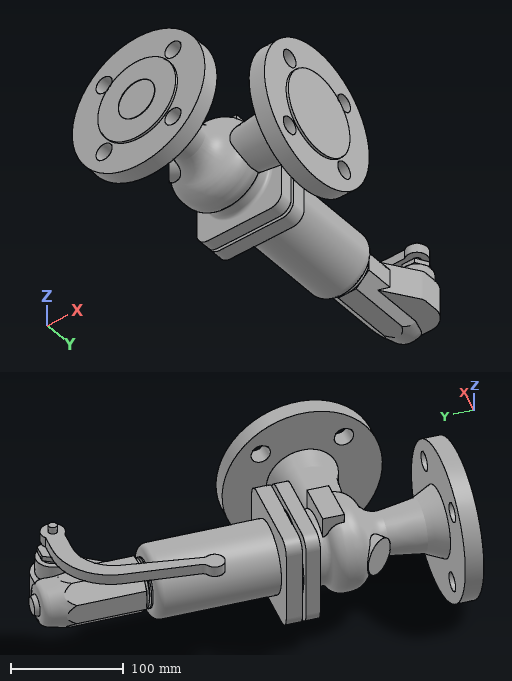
import math

import cadquery as cq


FACE_DISTANCE = 115.0
FLANGE_RADIUS = 75.0
FLANGE_BACK = 95.0
RAISED_FACE_RADIUS = 44.0
RAISED_FACE_HEIGHT = 2.5
BOLT_CIRCLE_RADIUS = 55.0
BOLT_COUNT = 4
BOLT_HOLE_RADIUS = 9.0
INLET_DISC_RADIUS = 20.5
INLET_DISC_HEIGHT = 0.5

NECK_KNEE = 77.0
INLET_FLARE_RADIUS = 34.0
INLET_KNEE_RADIUS = 25.5
INLET_THROAT_RADIUS = 20.5
INLET_THROAT_Y = -42.0
OUTLET_FLARE_RADIUS = 33.7
OUTLET_KNEE_RADIUS = 27.7
OUTLET_ROOT_RADIUS = 18.7

BODY_RADIUS = 45.0
BAND_TOP_Y = 2.6
BAND_BOTTOM_Y = -3.5
LOWER_BULGE_RADIUS = 20.0
UPPER_BULGE_RADIUS = 15.0
BODY_NECK_RADIUS = 35.0
BODY_NECK_START_Y = 20.8
BODY_NECK_FLARE = 3.5

SQUARE_SIDE = 96.0
SQUARE_CORNER_RADIUS = 13.0
LOWER_SQUARE_Y = (31.2, 44.7)
UPPER_SQUARE_Y = (48.0, 63.2)
GASKET_RADIUS = 42.0
GASKET_TOP_Y = 45.7
SPIGOT_RADIUS = 38.0

BONNET_RADIUS = 34.8
BONNET_TOP_Y = 179.2
BONNET_ROUND = 7.9
BONNET_DISC_RADIUS = 23.4
BONNET_DISC_HEIGHT = 1.4

CAP_NECK_RADIUS = 18.0
CAP_RIM_Y = 182.8
CAP_RIM_RADIUS = 23.5
CAP_BOTTOM_Y = 185.5
CAP_FLATS = 49.0
CAP_SIDES = 8
CAP_SHOULDER_Y = 260.0
CAP_DOME_Y = 273.3
CAP_DOME_RADIUS = 21.5
CAP_TOP_Y = 280.4
CAP_TOP_RADIUS = 14.0
NUB_BASE_RADIUS = 10.2
NUB_TOP_RADIUS = 8.5
NUB_TOP_Y = 285.0

SHAFT_X = 21.5
SHAFT_Y = 258.0
SHAFT_RADIUS = 4.1
SHAFT_TOP_Z = 68.6
SHAFT_BOSS_RADIUS = 16.0
SHAFT_BOSS_TOP_Z = 33.6
COLLAR_RADIUS = 11.0
NUT_BOTTOM_Z = 36.7
NUT_TOP_Z = 41.8
NUT_FLATS = 24.8
NUT_SIDES = 6
HOUSING_RADIUS = 20.7
HOUSING_HALF_THICKNESS = 16.4
HOUSING_KNEE_Y = 241.8
HOUSING_KNEE_ROUND = 9.0
HOUSING_SLOPE = 1.484
HOUSING_INNER_X = 8.0

LEVER_BOTTOM_Z = 51.0
LEVER_TOP_Z = 61.5
LEVER_EYE_RADIUS = 11.4
LEVER_ARM_HALF_WIDTH = 9.0
LEVER_OUTER_BEND = 55.0
LEVER_OUTER_BEND_X = -2.5
LEVER_OUTER_ANGLE = 7.1
LEVER_INNER_BEND = 38.5
LEVER_INNER_BEND_X = -6.0
LEVER_INNER_ANGLE = 9.9
LEVER_BALL_X = -64.4
LEVER_BALL_Y = 135.6
LEVER_BALL_RADIUS = 9.3
LEVER_BALL_FILLET = 6.0

PAD_WIDTH = 43.6
PAD_Y = (0.0, 20.3)
PAD_TOP_Z = 48.0

DRAIN_RADIUS = 17.8
DRAIN_FACE_X = -31.2
DRAIN_FACE_Y = -29.5
DRAIN_TILT = 38.0
DRAIN_LENGTH = 32.0


def y_cylinder(radius, start, end):
    """Cylinder about the spindle axis between two Y positions."""
    return cq.Workplane("XZ", origin=(0, start, 0)).circle(radius).extrude(start - end)


def z_cylinder(radius, x, y, bottom, top):
    """Upright cylinder between two Z positions."""
    return cq.Workplane("XY", origin=(x, y, bottom)).circle(radius).extrude(top - bottom)


def turned(profile):
    """Solid of revolution about Y from a closed profile in the XY plane."""
    return profile.close().revolve(360, (0, 0, 0), (0, 1, 0))


def point_at(centre, radius, degrees):
    """Point on a circle at the given angle from +X."""
    angle = math.radians(degrees)
    return (centre[0] + radius * math.cos(angle), centre[1] + radius * math.sin(angle))


def blend_arcs(bulge_centre, bulge_radius, neck_radius, neck_y):
    """Join a round bulge smoothly to a cylindrical neck of smaller radius.

    Returns a middle point of the bulge arc, the point where the two arcs meet and
    a middle point of the hollow arc, which is tangent to the neck at neck_y.
    """
    offset = neck_radius - bulge_centre[0]
    rise = neck_y - bulge_centre[1]
    hollow_radius = (rise**2 + offset**2 - bulge_radius**2) / (2 * (bulge_radius - offset))
    hollow_centre = (neck_radius + hollow_radius, neck_y)
    direction = math.degrees(math.atan2(rise, offset + hollow_radius))
    return (
        point_at(bulge_centre, bulge_radius, direction / 2),
        point_at(bulge_centre, bulge_radius, direction),
        point_at(hollow_centre, hollow_radius, 180 + direction / 2),
    )


def pipe_flange():
    """Drilled flange with a raised face, its axis along +Z and its face outward."""
    raised_start = FACE_DISTANCE - RAISED_FACE_HEIGHT
    flange = z_cylinder(FLANGE_RADIUS, 0, 0, FLANGE_BACK, raised_start)
    holes = (
        cq.Workplane("XY", origin=(0, 0, FLANGE_BACK))
        .polarArray(BOLT_CIRCLE_RADIUS, 180 / BOLT_COUNT, 360, BOLT_COUNT)
        .circle(BOLT_HOLE_RADIUS)
        .extrude(raised_start - FLANGE_BACK)
    )
    raised_face = z_cylinder(RAISED_FACE_RADIUS, 0, 0, raised_start, FACE_DISTANCE)
    return flange.cut(holes).union(raised_face)


def body():
    """Bulged body with its upper neck and the tapered inlet neck."""
    lower_mid, lower_join, throat_mid = blend_arcs(
        (BODY_RADIUS - LOWER_BULGE_RADIUS, BAND_BOTTOM_Y),
        LOWER_BULGE_RADIUS,
        INLET_THROAT_RADIUS,
        INLET_THROAT_Y,
    )
    upper_mid, upper_join, neck_mid = blend_arcs(
        (BODY_RADIUS - UPPER_BULGE_RADIUS, BAND_TOP_Y),
        UPPER_BULGE_RADIUS,
        BODY_NECK_RADIUS,
        BODY_NECK_START_Y,
    )
    neck_top = LOWER_SQUARE_Y[0]
    flare_centre = (BODY_NECK_RADIUS + BODY_NECK_FLARE, neck_top - BODY_NECK_FLARE)
    profile = (
        cq.Workplane("XY")
        .moveTo(0, -FLANGE_BACK)
        .lineTo(INLET_FLARE_RADIUS, -FLANGE_BACK)
        .lineTo(INLET_KNEE_RADIUS, -NECK_KNEE)
        .lineTo(INLET_THROAT_RADIUS, INLET_THROAT_Y)
        .threePointArc(throat_mid, lower_join)
        .threePointArc(lower_mid, (BODY_RADIUS, BAND_BOTTOM_Y))
        .lineTo(BODY_RADIUS, BAND_TOP_Y)
        .threePointArc(upper_mid, upper_join)
        .threePointArc(neck_mid, (BODY_NECK_RADIUS, BODY_NECK_START_Y))
        .lineTo(BODY_NECK_RADIUS, flare_centre[1])
        .threePointArc(point_at(flare_centre, BODY_NECK_FLARE, 135), (flare_centre[0], neck_top))
        .lineTo(0, neck_top)
    )
    return turned(profile)


def inlet_flange():
    """Inlet flange facing -Y, with the thin round disc on its raised face."""
    flange = pipe_flange().rotate((0, 0, 0), (1, 0, 0), 90)
    disc = y_cylinder(INLET_DISC_RADIUS, -FACE_DISTANCE - INLET_DISC_HEIGHT, -FACE_DISTANCE)
    return flange.union(disc)


def outlet():
    """Outlet flange facing +X and the tapered pipe that leads to it."""
    pipe = (
        cq.Workplane("XY")
        .lineTo(0, OUTLET_ROOT_RADIUS)
        .lineTo(NECK_KNEE, OUTLET_KNEE_RADIUS)
        .lineTo(FLANGE_BACK, OUTLET_FLARE_RADIUS)
        .lineTo(FLANGE_BACK, 0)
        .close()
        .revolve(360, (0, 0, 0), (1, 0, 0))
    )
    return pipe.union(pipe_flange().rotate((0, 0, 0), (0, 1, 0), 90))


def square_flange(span):
    """Square clamping flange with rounded corners."""
    start, end = span
    return (
        cq.Workplane("XZ", origin=(0, start, 0))
        .rect(SQUARE_SIDE, SQUARE_SIDE)
        .extrude(start - end)
        .edges("|Y")
        .fillet(SQUARE_CORNER_RADIUS)
    )


def clamped_joint():
    """Both square flanges with the gasket and spigot between them."""
    gasket = y_cylinder(GASKET_RADIUS, LOWER_SQUARE_Y[1], GASKET_TOP_Y)
    spigot = y_cylinder(SPIGOT_RADIUS, GASKET_TOP_Y, UPPER_SQUARE_Y[0])
    return square_flange(LOWER_SQUARE_Y).union(gasket).union(spigot).union(square_flange(UPPER_SQUARE_Y))


def bonnet():
    """Spring bonnet with a rounded top edge and a thin disc on its top."""
    barrel = y_cylinder(BONNET_RADIUS, UPPER_SQUARE_Y[1], BONNET_TOP_Y)
    disc = y_cylinder(BONNET_DISC_RADIUS, BONNET_TOP_Y, BONNET_TOP_Y + BONNET_DISC_HEIGHT)
    return barrel.faces(">Y").edges().fillet(BONNET_ROUND).union(disc)


def cap():
    """Octagonal cap with a coned shoulder, a rounded top and a small coned nub."""
    corner_radius = CAP_FLATS / 2 / math.cos(math.pi / CAP_SIDES)
    octagon = (
        cq.Workplane("XZ", origin=(0, CAP_BOTTOM_Y, 0))
        .polygon(CAP_SIDES, 2 * corner_radius)
        .extrude(CAP_BOTTOM_Y - CAP_TOP_Y)
        .rotate((0, 0, 0), (0, 1, 0), 180 / CAP_SIDES)
    )
    shoulder_taper = (CAP_FLATS / 2 - CAP_DOME_RADIUS) / (CAP_DOME_Y - CAP_SHOULDER_Y)
    cone_start_y = CAP_DOME_Y - (corner_radius - CAP_DOME_RADIUS) / shoulder_taper
    dome_tangent = (-shoulder_taper, 1)
    envelope = turned(
        cq.Workplane("XY")
        .moveTo(0, CAP_BOTTOM_Y)
        .lineTo(corner_radius, CAP_BOTTOM_Y)
        .lineTo(corner_radius, cone_start_y)
        .lineTo(CAP_DOME_RADIUS, CAP_DOME_Y)
        .spline([(CAP_TOP_RADIUS, CAP_TOP_Y)], [dome_tangent, (-1, 0)], includeCurrent=True)
        .lineTo(0, CAP_TOP_Y)
    )
    rim = turned(
        cq.Workplane("XY")
        .moveTo(0, CAP_RIM_Y)
        .lineTo(CAP_RIM_RADIUS, CAP_RIM_Y)
        .lineTo(CAP_FLATS / 2, CAP_BOTTOM_Y)
        .lineTo(0, CAP_BOTTOM_Y)
    )
    neck = y_cylinder(CAP_NECK_RADIUS, BONNET_TOP_Y, CAP_RIM_Y)
    nub = turned(
        cq.Workplane("XY")
        .moveTo(0, CAP_TOP_Y)
        .lineTo(NUB_BASE_RADIUS, CAP_TOP_Y)
        .lineTo(NUB_TOP_RADIUS, NUB_TOP_Y)
        .lineTo(0, NUB_TOP_Y)
    )
    return octagon.intersect(envelope).union(rim).union(neck).union(nub)


def shaft_housing():
    """Rounded housing beside the cap, ending in a slope down to the cap side."""
    outer_x = SHAFT_X + HOUSING_RADIUS
    top_y = SHAFT_Y + HOUSING_RADIUS
    slope_end_y = HOUSING_KNEE_Y - HOUSING_SLOPE * (outer_x - HOUSING_INNER_X)
    return (
        cq.Workplane("XY", origin=(0, 0, -HOUSING_HALF_THICKNESS))
        .moveTo(HOUSING_INNER_X, slope_end_y)
        .lineTo(outer_x, HOUSING_KNEE_Y)
        .lineTo(outer_x, SHAFT_Y)
        .threePointArc(point_at((SHAFT_X, SHAFT_Y), HOUSING_RADIUS, 45), (SHAFT_X, top_y))
        .lineTo(HOUSING_INNER_X, top_y)
        .close()
        .extrude(2 * HOUSING_HALF_THICKNESS)
        .edges(cq.selectors.NearestToPointSelector((outer_x, HOUSING_KNEE_Y, 0)))
        .fillet(HOUSING_KNEE_ROUND)
    )


def lever_shaft():
    """Shaft boss, collar, hexagon nut and the shaft itself."""
    boss = z_cylinder(SHAFT_BOSS_RADIUS, SHAFT_X, SHAFT_Y, 0, SHAFT_BOSS_TOP_Z)
    collar = z_cylinder(COLLAR_RADIUS, SHAFT_X, SHAFT_Y, SHAFT_BOSS_TOP_Z, NUT_BOTTOM_Z)
    nut = (
        cq.Workplane("XY", origin=(SHAFT_X, SHAFT_Y, NUT_BOTTOM_Z))
        .polygon(NUT_SIDES, NUT_FLATS / math.cos(math.pi / NUT_SIDES))
        .extrude(NUT_TOP_Z - NUT_BOTTOM_Z)
    )
    shaft = z_cylinder(SHAFT_RADIUS, SHAFT_X, SHAFT_Y, NUT_TOP_Z, SHAFT_TOP_Z)
    return boss.union(collar).union(nut).union(shaft)


def lever():
    """Bent, tapering lever with a round eye at the shaft and a round grip end."""
    thickness = LEVER_TOP_Z - LEVER_BOTTOM_Z
    arm_top = SHAFT_Y + LEVER_ARM_HALF_WIDTH
    arm_bottom = SHAFT_Y - LEVER_ARM_HALF_WIDTH
    outer_centre = (LEVER_OUTER_BEND_X, arm_top - LEVER_OUTER_BEND)
    inner_centre = (LEVER_INNER_BEND_X, arm_bottom - LEVER_INNER_BEND)
    outer_end = point_at(outer_centre, LEVER_OUTER_BEND, 180 - LEVER_OUTER_ANGLE)
    inner_end = point_at(inner_centre, LEVER_INNER_BEND, 180 - LEVER_INNER_ANGLE)
    outer_drift = math.tan(math.radians(LEVER_OUTER_ANGLE))
    inner_drift = math.tan(math.radians(LEVER_INNER_ANGLE))
    outer_grip_x = outer_end[0] - outer_drift * (outer_end[1] - LEVER_BALL_Y)
    inner_grip_x = inner_end[0] - inner_drift * (inner_end[1] - LEVER_BALL_Y)
    arm = (
        cq.Workplane("XY", origin=(0, 0, LEVER_BOTTOM_Z))
        .moveTo(SHAFT_X, arm_bottom)
        .lineTo(SHAFT_X, arm_top)
        .lineTo(LEVER_OUTER_BEND_X, arm_top)
        .threePointArc(point_at(outer_centre, LEVER_OUTER_BEND, 135), outer_end)
        .lineTo(outer_grip_x, LEVER_BALL_Y)
        .lineTo(inner_grip_x, LEVER_BALL_Y)
        .lineTo(*inner_end)
        .threePointArc(point_at(inner_centre, LEVER_INNER_BEND, 135), (LEVER_INNER_BEND_X, arm_bottom))
        .close()
        .extrude(thickness)
    )
    grip = z_cylinder(LEVER_BALL_RADIUS, LEVER_BALL_X, LEVER_BALL_Y, LEVER_BOTTOM_Z, LEVER_TOP_Z)
    eye = z_cylinder(LEVER_EYE_RADIUS, SHAFT_X, SHAFT_Y, LEVER_BOTTOM_Z, LEVER_TOP_Z)
    corner_y = LEVER_BALL_Y + LEVER_BALL_RADIUS
    mid_z = (LEVER_BOTTOM_Z + LEVER_TOP_Z) / 2
    joined = arm.union(grip).union(eye)
    for corner_x in (outer_grip_x, inner_grip_x):
        corner = cq.selectors.NearestToPointSelector((corner_x, corner_y, mid_z))
        joined = joined.edges("|Z").edges(corner).fillet(LEVER_BALL_FILLET)
    return joined


def name_plate_pad():
    """Rectangular pad standing on the +Z side of the body."""
    start, end = PAD_Y
    middle_y = (start + end) / 2
    return cq.Workplane("XY", origin=(0, middle_y, 0)).rect(PAD_WIDTH, end - start).extrude(PAD_TOP_Z)


def drain_boss():
    """Round boss on the inlet side of the body, tilted towards the inlet."""
    inward = (math.cos(math.radians(DRAIN_TILT)), math.sin(math.radians(DRAIN_TILT)), 0)
    face = cq.Plane(origin=(DRAIN_FACE_X, DRAIN_FACE_Y, 0), xDir=(0, 0, 1), normal=inward)
    return cq.Workplane(face).circle(DRAIN_RADIUS).extrude(DRAIN_LENGTH)


result = body()
for feature in (
    inlet_flange(),
    outlet(),
    clamped_joint(),
    bonnet(),
    cap(),
    shaft_housing(),
    lever_shaft(),
    lever(),
    name_plate_pad(),
    drain_boss(),
):
    result = result.union(feature)